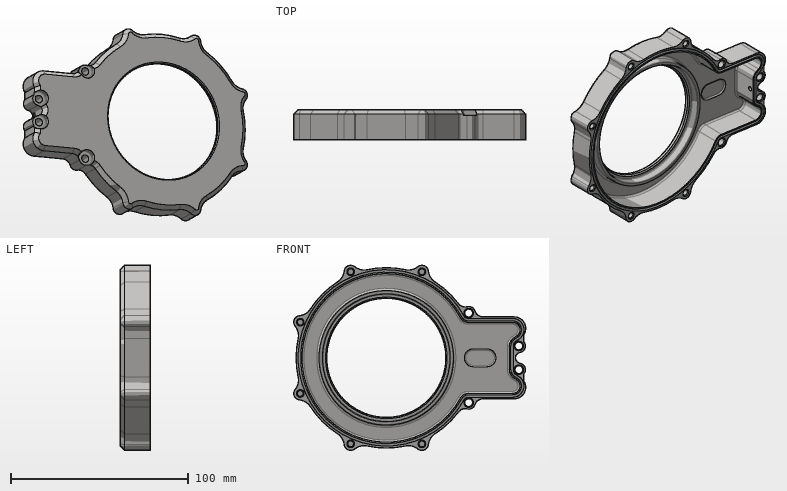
import cadquery as cq
import math

total_length = 131.0
depth = 17.0
back_thickness = 2.2
back_chamfer = 2.5

ring_radius = 51.0
lug_wall = 1.6
ring_lug_circle = 52.5
ring_lug_count = 6
ring_lug_spacing = 45.0
ring_lug_blend = 8.4
tab_half_height = 23.2
tab_end = 77.7
corner_radius = 6.5
neck_lug_x, neck_lug_z = 46.5, 25.3
neck_blend = 4.7
end_lug_x, end_lug_z = 74.8, 6.7
scallop_bottom = 73.0

cavity_radius = 47.5
cavity_half_height = 20.0
cavity_corner_radius = 4.2
cavity_corner_x = 71.2
neck_wall_radius = 5.1
end_wall_radius = 5.4
floor_fillet = 1.0
groove_gap = 0.8
groove_width = 1.5
groove_depth = 1.0
groove_fillet = 0.3

boss_diameter = 76.0
boss_front = 8.5
boss_fillet = 1.3
counterbore_diameter = 72.0
ledge_y = 13.8
bore_diameter = 67.0
ledge_chamfer = 0.8
back_edge_chamfer = 0.7

blind_hole_diameter = 3.3
blind_hole_depth = 10.5
through_hole_diameter = 4.3
hole_chamfer = 0.5
spotface_diameter = 9.0
spotface_depth = 3.1
end_wall_hole_diameter = 2.5
end_wall_hole_y = 2.5

slot_x = 52.9
slot_length = 17.8
slot_width = 10.1
slot_depth = 0.9
slot_fillet = 0.8

edge_round = 0.4

floor_y = depth - back_thickness
seat_radius = counterbore_diameter / 2
bore_radius = bore_diameter / 2
arc_inset = 1 - math.sqrt(0.5)
round_inset = arc_inset * edge_round
foot_inset = arc_inset * boss_fillet
corner_z = tab_half_height - corner_radius
cavity_corner_z = cavity_half_height - cavity_corner_radius
lug_radius = through_hole_diameter / 2 + lug_wall
ring_lug_reach = ring_lug_circle * math.cos(math.radians(ring_lug_spacing / 2)) + lug_radius
corner_x = total_length - ring_lug_reach - corner_radius
ring_lugs = []
for index in range(ring_lug_count):
    angle = math.radians(180 + (index - (ring_lug_count - 1) / 2) * ring_lug_spacing)
    ring_lugs.append((ring_lug_circle * math.cos(angle), ring_lug_circle * math.sin(angle)))
neck_lugs = [(neck_lug_x, side * neck_lug_z) for side in (1, -1)]
end_lugs = [(end_lug_x, side * end_lug_z) for side in (1, -1)]


def front_plane(y=0.0):
    """Sketch plane facing -Y: local x is X, local y is Z, extrude(-d) goes to +Y."""
    return cq.Workplane("XZ", origin=(0, y, 0))


def cylinders(points, diameter, y, length):
    """Cylinders at the given (x, z) points, starting at y and running toward the back."""
    return front_plane(y).pushPoints(points).circle(diameter / 2).extrude(-length)


def circle_crossing(c1, r1, c2, r2, side):
    """Crossing of two circles, on the left (side = 1) or right (-1) of the line c1 -> c2."""
    dx, dz = c2[0] - c1[0], c2[1] - c1[1]
    gap = math.hypot(dx, dz)
    along = (gap**2 + r1**2 - r2**2) / (2 * gap)
    across = side * math.sqrt(r1**2 - along**2)
    return (
        c1[0] + (along * dx - across * dz) / gap,
        c1[1] + (along * dz + across * dx) / gap,
    )


def between(c1, c2, distance):
    """Point at the given distance from c1 toward c2."""
    gap = math.dist(c1, c2)
    return (
        c1[0] + distance * (c2[0] - c1[0]) / gap,
        c1[1] + distance * (c2[1] - c1[1]) / gap,
    )


def blend_web(p1, p2, p3, blend_centre, blend_radius):
    """Material between two touching curves, bounded by a concave arc from p1 to p3; p2 is inside."""
    middle = ((p1[0] + p3[0]) / 2, (p1[1] + p3[1]) / 2)
    arc_middle = between(blend_centre, middle, blend_radius)
    web = front_plane().moveTo(*p1).threePointArc(arc_middle, p3).lineTo(*p2).close()
    return web.extrude(-depth)


def ring_web(lug, blend_radius, side):
    """Concave blend between a lug and the ring, on one side of the lug."""
    centre = circle_crossing((0, 0), ring_radius + blend_radius, lug, lug_radius + blend_radius, side)
    on_ring = between((0, 0), centre, ring_radius)
    on_lug = between(lug, centre, lug_radius)
    inside = between((0, 0), lug, cavity_radius)
    return blend_web(on_ring, inside, on_lug, centre, blend_radius)


def tab_web(lug, side):
    """Concave blend between a neck lug and the long straight edge of the tab."""
    rise = tab_half_height + neck_blend - neck_lug_z
    reach = math.sqrt((lug_radius + neck_blend) ** 2 - rise**2)
    centre = (neck_lug_x + reach, side * (tab_half_height + neck_blend))
    on_edge = (centre[0], side * tab_half_height)
    on_lug = between(lug, centre, lug_radius)
    return blend_web(on_edge, (neck_lug_x, side * tab_half_height), on_lug, centre, neck_blend)


def scallop():
    """Round notch between the end lugs, tangent to both, and the x of its straight side."""
    reach = end_lug_x - scallop_bottom
    radius = (end_lug_z**2 + reach**2 - lug_radius**2) / (2 * (lug_radius + reach))
    centre = (scallop_bottom + radius, 0)
    x, z = between(end_lugs[0], centre, lug_radius)
    outline = front_plane().moveTo(x, -z).threePointArc((scallop_bottom, 0), (x, z)).close()
    return outline.extrude(-depth), x


def plate(x_start, x_end, half_height):
    """Full-depth block between two x positions, centred on z = 0."""
    length = x_end - x_start
    outline = front_plane().center(x_start + length / 2, 0).rect(length, 2 * half_height)
    return outline.extrude(-depth)


def tab():
    """Flat-ended tab with rounded corners, open between the end lugs."""
    side_plate = plate(0, corner_x, tab_half_height)
    end_plate = plate(0, tab_end, corner_z)
    corners = cylinders([(corner_x, corner_z), (corner_x, -corner_z)], 2 * corner_radius, 0, depth)
    notch, notch_x = scallop()
    gap = plate(notch_x, tab_end, end_lug_z)
    lugs = cylinders(end_lugs, 2 * lug_radius, 0, depth)
    return side_plate.union(end_plate).union(corners).cut(gap).union(lugs).cut(notch)


def body():
    """Outside shape of the housing, chamfered around the back."""
    solid = front_plane().circle(ring_radius).extrude(-depth).union(tab())
    solid = solid.union(cylinders(ring_lugs + neck_lugs, 2 * lug_radius, 0, depth))
    for lug in ring_lugs:
        for side in (1, -1):
            solid = solid.union(ring_web(lug, ring_lug_blend, side))
    for lug, side in zip(neck_lugs, (1, -1)):
        solid = solid.union(ring_web(lug, neck_blend, side)).union(tab_web(lug, side))
    return solid.clean().faces(">Y").chamfer(back_chamfer)


def polar(centre, radius, angle):
    """Point on a circle at an angle in radians."""
    return (centre[0] + radius * math.cos(angle), centre[1] + radius * math.sin(angle))


def cavity(offset, length):
    """Block with the outline of the cavity grown by offset, from the open face back."""
    half_height = cavity_half_height + offset
    ring = cavity_radius + offset
    neck = neck_wall_radius - offset
    end = end_wall_radius - offset
    corner = cavity_corner_radius + offset
    wall_x = end_lug_x - end

    neck_z = half_height + neck
    neck_x = math.sqrt((ring + neck) ** 2 - neck_z**2)
    neck_angle = math.atan2(neck_z, neck_x)
    neck_start = polar((0, 0), ring, neck_angle)
    neck_middle = polar((neck_x, neck_z), neck, (neck_angle - 1.5 * math.pi) / 2)

    lug = end_lugs[0]
    corner_centre = (cavity_corner_x, cavity_corner_z)
    gap = math.dist(lug, corner_centre)
    toward = math.atan2(cavity_corner_z - lug[1], cavity_corner_x - lug[0])
    normal = toward + math.acos((end + corner) / gap)
    lug_middle = polar(lug, end, (math.pi + normal) / 2)
    corner_turn = (normal - math.pi / 2) / 2

    upper = (
        front_plane()
        .moveTo(-ring, 0)
        .threePointArc(polar((0, 0), ring, (math.pi + neck_angle) / 2), neck_start)
        .threePointArc(neck_middle, (neck_x, half_height))
        .lineTo(cavity_corner_x, half_height)
        .threePointArc(
            polar(corner_centre, corner, corner_turn),
            polar(corner_centre, corner, normal - math.pi),
        )
        .lineTo(*polar(lug, end, normal))
        .threePointArc(lug_middle, (wall_x, lug[1]))
        .lineTo(wall_x, 0)
        .close()
        .extrude(-length)
    )
    return upper.union(upper.mirror("XY")).clean()


def turned(profile):
    """Revolve a closed profile, drawn as radius and y, around the ring axis."""
    return profile.close().revolve(360, (0, 0, 0), (0, 1, 0))


def bore_collar():
    """Everything around the bore: foot fillet, rounded rim, seat, ledge and bore, in one profile."""
    radius = boss_diameter / 2
    return turned(
        cq.Workplane("XY")
        .moveTo(radius + boss_fillet, floor_y)
        .threePointArc((radius + foot_inset, floor_y - foot_inset), (radius, floor_y - boss_fillet))
        .lineTo(radius, boss_front + edge_round)
        .threePointArc((radius - round_inset, boss_front + round_inset), (radius - edge_round, boss_front))
        .lineTo(seat_radius + edge_round, boss_front)
        .threePointArc(
            (seat_radius + round_inset, boss_front + round_inset),
            (seat_radius, boss_front + edge_round),
        )
        .lineTo(seat_radius, ledge_y - edge_round)
        .threePointArc(
            (seat_radius - round_inset, ledge_y - round_inset),
            (seat_radius - edge_round, ledge_y),
        )
        .lineTo(bore_radius + ledge_chamfer, ledge_y)
        .lineTo(bore_radius, ledge_y + ledge_chamfer)
        .lineTo(bore_radius, depth - back_edge_chamfer)
        .lineTo(bore_radius + back_edge_chamfer, depth)
        .lineTo(radius + boss_fillet, depth)
    )


def chamfer_cone(points, diameter, y, size):
    """Cones that chamfer the mouths of holes starting at y and running toward the back."""
    mouth = front_plane(y).pushPoints(points).circle(diameter / 2 + size)
    return mouth.extrude(-size, taper=45)


def drilled(points, diameter, length):
    """Drills from the open face with a chamfered mouth."""
    return cylinders(points, diameter, 0, length).union(chamfer_cone(points, diameter, 0, hole_chamfer))


floor_pocket = cavity(0, floor_y).faces(">Y").edges().fillet(floor_fillet)
seal_groove = cavity(groove_gap + groove_width, groove_depth).cut(cavity(groove_gap, groove_depth))
seal_groove = seal_groove.faces(">Y").edges().fillet(groove_fillet)
slot = front_plane(floor_y).center(slot_x, 0).slot2D(slot_length, slot_width).extrude(-slot_depth)
slot = slot.faces(">Y").edges().fillet(slot_fillet)
end_wall_hole = (
    cq.Workplane("YZ", origin=(end_lug_x - end_wall_radius, end_wall_hole_y, 0))
    .circle(end_wall_hole_diameter / 2)
    .extrude(end_wall_radius)
)
through_lugs = neck_lugs + end_lugs
spotfaces = cylinders(through_lugs, spotface_diameter, depth - spotface_depth, spotface_depth)
spotfaces = spotfaces.faces("<Y").edges().fillet(edge_round)

result = (
    body()
    .cut(floor_pocket)
    .cut(seal_groove)
    .cut(cylinders([(0, 0)], boss_diameter, 0, depth))
    .union(bore_collar())
    .cut(slot)
    .cut(drilled(ring_lugs, blind_hole_diameter, blind_hole_depth))
    .cut(drilled(through_lugs, through_hole_diameter, depth))
    .cut(spotfaces)
    .cut(end_wall_hole)
)